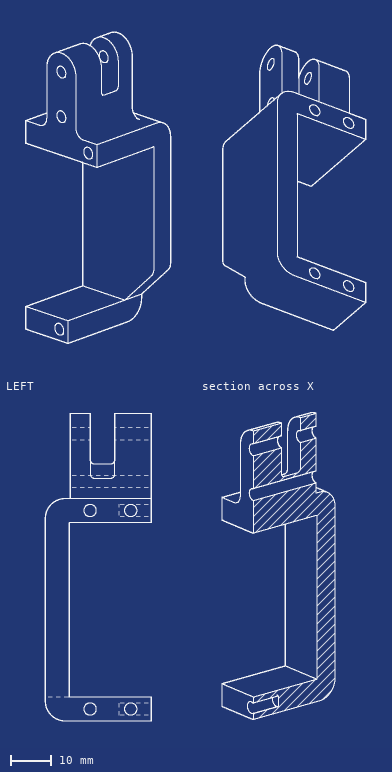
import cadquery as cq

width = 24.5
depth = 26.2
height = 76.0

thickness = 6.0
outer_radius = 5.0
shoulder_height = 55.0
foot_width = 14.5
slant_top = 15.6
slant_corner_radius = 3.0

lug_width = 10.0
lug_depth = 20.1
lug_root_radius = 2.5
lug_radius = lug_width / 2
lug_center = width / 2
lug_left = lug_center - lug_radius
lug_right = lug_center + lug_radius

slot_front = 9.05
slot_width = 6.0
slot_left_floor = 60.0
slot_right_floor = 63.5
slot_floor_radius = 1.0

hole_diameter = 3.05
pin_hole_height = height - lug_radius
pin_hole_spacing = 11.8
screw_hole_depth = 8.0
side_hole_first = 5.1
side_hole_spacing = 10.0
screw_edge_distance = thickness / 2


def make_bracket():
    """C-section across the full width, with the lower right corner cut away."""
    blank = (
        cq.Workplane("XY")
        .box(width, depth, shoulder_height, centered=False)
        .edges("|X and >Y")
        .fillet(outer_radius)
    )
    opening = cq.Workplane("XY").box(
        width, depth - thickness, shoulder_height - 2 * thickness, centered=False
    ).translate((0, 0, thickness))
    silhouette = (
        cq.Workplane("XZ")
        .moveTo(0, 0)
        .lineTo(foot_width, 0)
        .lineTo(foot_width, thickness)
        .lineTo(width, slant_top)
        .lineTo(width, shoulder_height)
        .lineTo(0, shoulder_height)
        .close()
        .extrude(-depth)
    )
    slant_corner = cq.selectors.NearestToPointSelector((width, depth / 2, slant_top))
    silhouette = silhouette.edges("|Y").edges(slant_corner).fillet(slant_corner_radius)
    return blank.cut(opening).intersect(silhouette)


def make_lug():
    """Round-topped upright with flared root, continuing down through the upper arm."""
    flare_top = shoulder_height + lug_root_radius
    return (
        cq.Workplane("XZ")
        .moveTo(lug_left - lug_root_radius, shoulder_height - thickness)
        .lineTo(lug_left - lug_root_radius, shoulder_height)
        .radiusArc((lug_left, flare_top), -lug_root_radius)
        .lineTo(lug_left, pin_hole_height)
        .threePointArc((lug_center, height), (lug_right, pin_hole_height))
        .lineTo(lug_right, flare_top)
        .radiusArc((lug_right + lug_root_radius, shoulder_height), -lug_root_radius)
        .lineTo(lug_right + lug_root_radius, shoulder_height - thickness)
        .close()
        .extrude(-lug_depth)
    )


def make_slot():
    """Slot cutter with a sloping floor and rounded floor edges."""
    return (
        cq.Workplane("XZ", origin=(0, slot_front, 0))
        .moveTo(lug_left, slot_left_floor)
        .lineTo(lug_right, slot_right_floor)
        .lineTo(lug_right, height)
        .lineTo(lug_left, height)
        .close()
        .extrude(-slot_width)
        .faces("<Z")
        .edges("not |Y")
        .fillet(slot_floor_radius)
    )


def hole_cutter(start, direction, length):
    return cq.Workplane(
        cq.Solid.makeCylinder(hole_diameter / 2, length, cq.Vector(*start), cq.Vector(*direction))
    )


into_front = (0, 1, 0)
into_left_side = (1, 0, 0)

result = make_bracket().union(make_lug()).cut(make_slot())

for z in (pin_hole_height, pin_hole_height - pin_hole_spacing):
    result = result.cut(hole_cutter((lug_center, 0, z), into_front, lug_depth))

for arm_width, arm_middle in (
    (foot_width, thickness / 2),
    (width, shoulder_height - thickness / 2),
):
    front_start = (arm_width - screw_edge_distance, 0, arm_middle)
    result = result.cut(hole_cutter(front_start, into_front, screw_hole_depth))
    for y in (side_hole_first, side_hole_first + side_hole_spacing):
        result = result.cut(hole_cutter((0, y, arm_middle), into_left_side, screw_hole_depth))